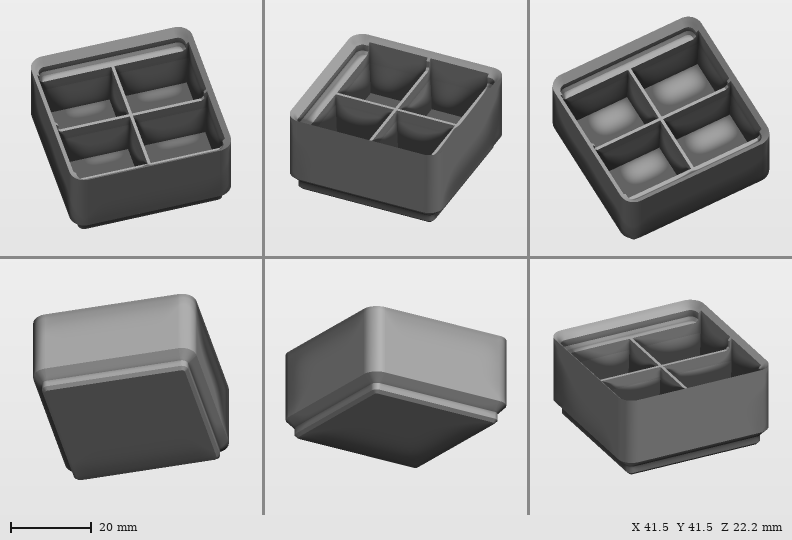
import cadquery as cq

side = 41.5
height = 22.2
corner_radius = 3.75

foot_lower_slope = 0.8
foot_wall_height = 1.8
foot_upper_slope = 2.15

rim_upper_slope = 1.9
rim_wall_height = 1.8
rim_lower_slope = 0.7

end_wall_x = 4.5
end_wall_y = 1.25
divider = 0.8
floor_z = 6.22
draft_top_z = 14.7
draft_inset = 0.65

overlap = 0.4


def rounded_prism(inset, bottom_z, depth):
    """Prism with the body outline moved inwards by inset; corners stay concentric."""
    width = side - 2 * inset
    return (
        cq.Workplane("XY")
        .workplane(offset=bottom_z)
        .rect(width, width)
        .extrude(depth)
        .edges("|Z")
        .fillet(corner_radius - inset)
    )


def make_body():
    """Rounded block standing on a smaller foot with sloped transitions."""
    wall_bottom = foot_lower_slope
    wall_top = wall_bottom + foot_wall_height
    body_bottom = wall_top + foot_upper_slope
    foot = rounded_prism(foot_upper_slope, 0, body_bottom).faces("<Z").chamfer(foot_lower_slope)
    block = rounded_prism(0, wall_top, height - wall_top).faces("<Z").chamfer(foot_upper_slope)
    return block.union(foot)


def make_rim_recess():
    """Recess that narrows from a sharp top edge down to the ledge."""
    wall_top = height - rim_upper_slope
    wall_bottom = wall_top - rim_wall_height
    ledge_z = wall_bottom - rim_lower_slope
    well = rounded_prism(rim_upper_slope, ledge_z, height - ledge_z).faces("<Z").chamfer(rim_lower_slope)
    flare = rounded_prism(0, wall_top, rim_upper_slope + overlap).faces("<Z").chamfer(rim_upper_slope)
    return well.union(flare)


def make_compartment(sign_x, sign_y):
    """Pocket in one quadrant, straight above draft_top_z and narrowing below it."""
    length_x = side / 2 - end_wall_x - divider / 2
    length_y = side / 2 - end_wall_y - divider / 2
    center_x = sign_x * (divider + length_x) / 2
    center_y = sign_y * (divider + length_y) / 2
    upper = (
        cq.Workplane("XY")
        .workplane(offset=draft_top_z)
        .center(center_x, center_y)
        .rect(length_x, length_y)
        .extrude(height + overlap - draft_top_z)
    )
    lower = (
        cq.Workplane("XY")
        .workplane(offset=floor_z)
        .center(center_x, center_y)
        .rect(length_x - 2 * draft_inset, length_y - 2 * draft_inset)
        .workplane(offset=draft_top_z - floor_z)
        .rect(length_x, length_y)
        .loft(ruled=True)
    )
    return upper.union(lower)


result = make_body().cut(make_rim_recess())
for sign_x in (-1, 1):
    for sign_y in (-1, 1):
        result = result.cut(make_compartment(sign_x, sign_y))